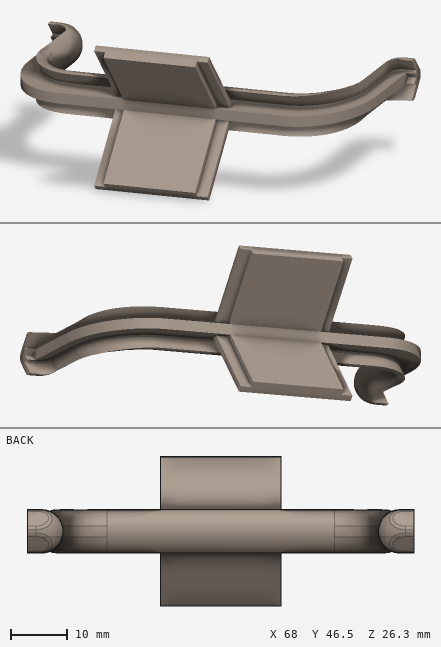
import cadquery as cq

HALF_WIDTH = 34.0
ROD_R = 3.8
ARM_X = 31.55
HOOK_Y = 28.0
HOOK_BEND_R = 0.95
CORNER_X = 20.0
CORNER_Y = 15.85

WEB_HALF = 0.95
WEB_BACK_Y = -4.1
WEB_CORNER_X = 21.0
WEB_CORNER_Y = 12.9

HOLLOW_X = 29.9
HOLLOW_BACK_Y = 1.7
HOLLOW_HOOK_Y = 29.85
HOLLOW_BEND_X = 32.1
LIP_HEIGHT = 0.35
LIP_FLARE = 0.2
NOTCH_Y = 29.45

HOOK_FLAT = 3.1
HOOK_FLAT_FILLET = 1.0

FLAP_HALF_WIDTH = 10.6
PAD_HALF_WIDTH = 8.6
LAYER = 1.15
FLAP_SPAN = 26.3

BEND_X = ARM_X + HOOK_BEND_R
BEND_Y = HOOK_Y - HOOK_BEND_R
FAR_X = HALF_WIDTH + ROD_R
FAR_Y = HOOK_Y + 2 * ROD_R


def left_side(outline, side_x, back_y, corner_x, corner_y):
    """Continue an outline down the left arm and round the elliptical corner to X = 0."""
    return (
        outline.lineTo(-side_x, corner_y)
        .ellipseArc(side_x - corner_x, corner_y - back_y, 180, 270, sense=1)
        .lineTo(0, back_y)
    )


def rod():
    """Left half of the round frame: hook, tight bend, arm, corner and back rail."""
    path = left_side(cq.Workplane("XY").moveTo(-ARM_X, BEND_Y), ARM_X, 0, CORNER_X, CORNER_Y)
    frame = cq.Workplane("XZ", origin=(-ARM_X, BEND_Y, 0)).circle(ROD_R).sweep(path)
    hook = (
        cq.Workplane("YZ", origin=(-HALF_WIDTH, 0, 0))
        .center(HOOK_Y, 0)
        .circle(ROD_R)
        .extrude(HALF_WIDTH - BEND_X)
    )
    flat_half = (ROD_R ** 2 - HOOK_BEND_R ** 2) ** 0.5
    bend = (
        cq.Workplane("YZ", origin=(-BEND_X, 0, 0))
        .moveTo(BEND_Y, -flat_half)
        .threePointArc((HOOK_Y + ROD_R, 0), (BEND_Y, flat_half))
        .close()
        .revolve(90, (BEND_Y, 0), (BEND_Y, -1))
    )
    return frame.union(hook).union(bend)


def flatten_hook(body):
    """Cut 45 degree flats above and below the hook and soften their borders."""
    flat = (
        cq.Workplane("XY")
        .box(2 * HALF_WIDTH, 4 * ROD_R, 2 * ROD_R)
        .translate((0, 0, HOOK_FLAT + ROD_R))
        .rotate((0, 0, 0), (1, 0, 0), -45)
        .translate((-HALF_WIDTH, HOOK_Y, 0))
    )
    for tool in (flat, flat.mirror("XY")):
        body = body.cut(tool)
    border_lines = cq.selectors.BoxSelector((-HALF_WIDTH, HOOK_Y, -ROD_R), (-BEND_X, FAR_Y, ROD_R))
    return body.edges(border_lines).edges("|X").fillet(HOOK_FLAT_FILLET)


def inside_wall(z, flare=0.0):
    """Closed outline of everything enclosed by the wall of the hollow, at height z.

    The wall leans at 45 degrees, so its outline moves to -Y as z grows.
    """
    shift = WEB_HALF - z
    wall_x = HOLLOW_X + flare
    back_y = HOLLOW_BACK_Y + shift - flare
    hook_y = HOLLOW_HOOK_Y + shift - flare
    bend_y = BEND_Y + shift
    outline = (
        cq.Workplane("XY", origin=(0, 0, z))
        .moveTo(0, FAR_Y)
        .lineTo(-FAR_X, FAR_Y)
        .lineTo(-FAR_X, hook_y)
        .lineTo(-HOLLOW_BEND_X, hook_y)
        .ellipseArc(HOLLOW_BEND_X - wall_x, hook_y - bend_y, 0, 90, sense=-1)
    )
    return left_side(outline, wall_x, back_y, CORNER_X, CORNER_Y + shift).close()


def hollow_keep():
    """Space above the web in which the rod is left standing."""
    lip_top = WEB_HALF + LIP_HEIGHT
    wall = inside_wall(lip_top).wire().val()
    lean = cq.Vector(0, -ROD_R, ROD_R)
    upper = cq.Workplane(cq.Solid.extrudeLinear(wall, [], lean))
    foot = inside_wall(lip_top, LIP_FLARE).val().translate((0, 0, -LIP_HEIGHT))
    lip = cq.Workplane(cq.Solid.makeLoft([foot, wall], True))
    return upper.union(lip)


def web_area(side_x, back_y, corner_x, corner_y, end_y):
    """Slab of web thickness filling the left half of a U outline up to end_y."""
    outline = cq.Workplane("XY", origin=(0, 0, -WEB_HALF)).moveTo(0, end_y).lineTo(-side_x, end_y)
    return left_side(outline, side_x, back_y, corner_x, corner_y).close().extrude(2 * WEB_HALF)


def hook_notch_keep():
    """Space between the lips of the hook, behind its V notch."""
    notch_edge = NOTCH_Y - WEB_HALF
    return (
        cq.Workplane("YZ", origin=(-HALF_WIDTH, 0, 0))
        .polyline([
            (NOTCH_Y, 0),
            (notch_edge, WEB_HALF),
            (FAR_Y, WEB_HALF),
            (FAR_Y, -WEB_HALF),
            (notch_edge, -WEB_HALF),
        ])
        .close()
        .extrude(HALF_WIDTH - ARM_X)
    )


def frame():
    """Left half of the hollowed round frame with its flat web."""
    solid_rod = flatten_hook(rod())
    above = solid_rod.intersect(hollow_keep())
    core = web_area(ARM_X, 0, CORNER_X, CORNER_Y, FAR_Y)
    web = web_area(BEND_X, WEB_BACK_Y, WEB_CORNER_X, WEB_CORNER_Y, NOTCH_Y).cut(core)
    core = core.union(hook_notch_keep())
    return solid_rod.intersect(core).union(web).union(above).union(above.mirror("XY"))


def flap_layer(half_width, depth):
    """Plate leaning back at 45 degrees, its inner face sunk by depth from that of the pad."""
    diagonal = 2 ** 0.5
    inner_y = WEB_BACK_Y + WEB_HALF + depth * diagonal
    outer_y = inner_y + LAYER * diagonal
    outer_top = FLAP_SPAN / 2 - (LAYER - depth) / diagonal
    inner_top = outer_top - LAYER / diagonal
    return (
        cq.Workplane("YZ")
        .polyline([
            (inner_y, 0),
            (outer_y, 0),
            (outer_y - outer_top, outer_top),
            (inner_y - inner_top, inner_top),
        ])
        .close()
        .extrude(half_width, both=True)
    )


half_frame = frame()
flap = flap_layer(PAD_HALF_WIDTH, 0).union(flap_layer(FLAP_HALF_WIDTH, LAYER))
result = half_frame.union(half_frame.mirror("YZ")).union(flap).union(flap.mirror("XY"))